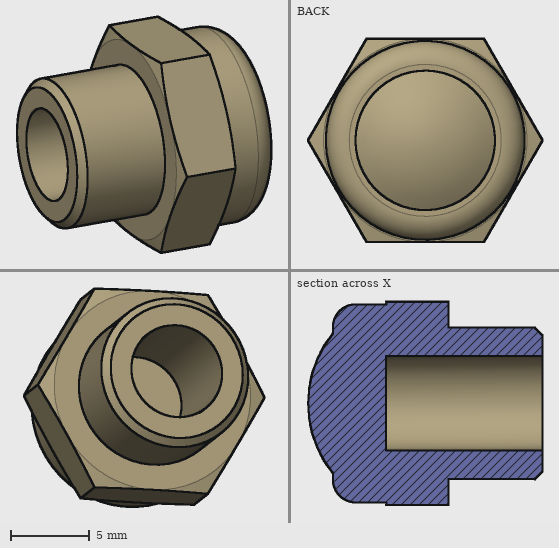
import cadquery as cq
import math

corner_diameter = 15.01
flat_radius = corner_diameter / 2 * math.cos(math.radians(30))
hex_length = 4.0
hex_chamfer_angle = 15.0

stem_diameter = 9.73
stem_length = 6.0
stem_chamfer = 0.5
bore_diameter = 6.0
bore_depth = stem_length + hex_length

cap_diameter = 12.71
cap_length = 3.42
cap_fillet = 1.5
dome_base_radius = 4.46
dome_height = 1.58

hex_end = stem_length + hex_length
cap_end = hex_end + cap_length


def cylinder(diameter, start, length):
    """Cylinder along +Y, beginning at y = start."""
    plane = cq.Workplane("XZ", origin=(0, start, 0))
    return plane.circle(diameter / 2).extrude(-length)


def make_hex():
    """Hexagon with corners on X, its corners bevelled by a cone at both ends."""
    prism = cq.Workplane("XZ", origin=(0, stem_length, 0))
    prism = prism.polygon(6, corner_diameter).extrude(-hex_length)
    corner_radius = corner_diameter / 2
    bevel_depth = (corner_radius - flat_radius) * math.tan(math.radians(hex_chamfer_angle))
    envelope = (
        cq.Workplane("XY")
        .moveTo(0, stem_length)
        .lineTo(flat_radius, stem_length)
        .lineTo(corner_radius, stem_length + bevel_depth)
        .lineTo(corner_radius, hex_end - bevel_depth)
        .lineTo(flat_radius, hex_end)
        .lineTo(0, hex_end)
        .close()
        .revolve(360, (0, 0, 0), (0, 1, 0))
    )
    return prism.intersect(envelope)


def make_dome():
    """Spherical cap standing on the flat end of the round cap."""
    sphere_radius = (dome_base_radius**2 + dome_height**2) / (2 * dome_height)
    centre_y = cap_end + dome_height - sphere_radius
    half_angle = math.asin(dome_base_radius / sphere_radius) / 2
    arc_middle = (
        sphere_radius * math.sin(half_angle),
        centre_y + sphere_radius * math.cos(half_angle),
    )
    return (
        cq.Workplane("XY")
        .moveTo(0, cap_end)
        .lineTo(dome_base_radius, cap_end)
        .threePointArc(arc_middle, (0, cap_end + dome_height))
        .close()
        .revolve(360, (0, 0, 0), (0, 1, 0))
    )


stem = cylinder(stem_diameter, 0, stem_length).faces("<Y").chamfer(stem_chamfer)
cap = cylinder(cap_diameter, hex_end, cap_length).faces(">Y").edges().fillet(cap_fillet)
bore = cylinder(bore_diameter, 0, bore_depth)

result = make_hex().union(stem).union(cap).union(make_dome()).cut(bore)
result = result.translate((0, -(cap_end + dome_height) / 2, 0))